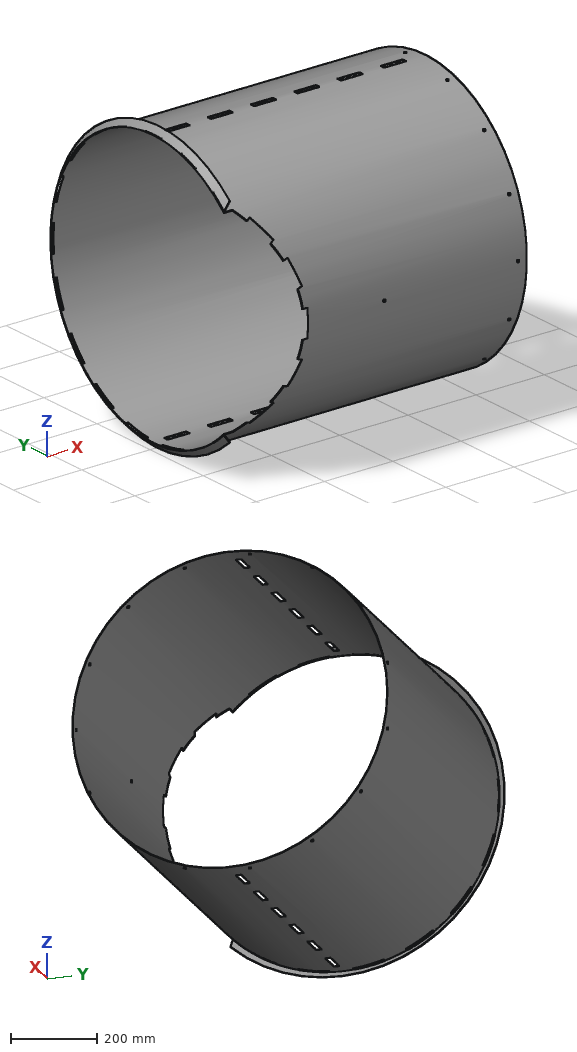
import cadquery as cq
import math


length = 797.0
outer_radius = 386.0
sheet = 2.0
inner_radius = outer_radius - sheet

flange_radius = 404.0
flange_rise = flange_radius - outer_radius
flange_offset = sheet / math.sqrt(2)

notch_width = 77.0
notch_count = 18
rim_notch_end = 10.0
bite_notch_depth = 11.0
bite_notch_angles = (-36.0, -18.7, 0.0, 18.7, 36.0)

bite_flat_y = -267.5
mitre_sum = -241.5
bite_flat_end = mitre_sum - bite_flat_y

slot_count = 6
slot_start = 39.5
slot_length = 64.0
slot_width = 13.0
slot_pitch = 127.0

hole_diameter = 6.5
end_hole_count = 15
end_hole_inset = 26.0
end_hole_first_angle = 6.0
side_hole_x = 380.0

clearance = 16.0


def around_axis(body, angle):
    """Turn a body made at +Z about the X axis, from +Z toward +Y."""
    return body.rotate((0, 0, 0), (1, 0, 0), -angle)


def wall_box(size_x, size_y):
    """Box crossing the wall at +Z, centred on X = 0."""
    return cq.Workplane("XY").box(size_x, size_y, 2 * clearance).translate((0, 0, outer_radius))


def wall_hole(x, angle):
    """Radial hole cutter through one wall."""
    drill = cq.Workplane("XY").circle(hole_diameter / 2).extrude(2 * clearance)
    return around_axis(drill.translate((x, 0, outer_radius - clearance)), angle)


def make_shell():
    return (
        cq.Workplane("YZ", origin=(flange_offset, 0, 0))
        .circle(outer_radius)
        .circle(inner_radius)
        .extrude(length - flange_offset)
    )


def make_flange():
    return (
        cq.Workplane("XY")
        .moveTo(0, outer_radius)
        .lineTo(flange_rise, flange_radius)
        .lineTo(flange_rise + flange_offset, flange_radius - flange_offset)
        .lineTo(flange_offset, outer_radius - flange_offset)
        .close()
        .revolve(360, (0, 0, 0), (1, 0, 0))
    )


def make_bite():
    far_y = -flange_radius - clearance
    return (
        cq.Workplane("XY", origin=(0, 0, -flange_radius))
        .moveTo(-clearance, bite_flat_y)
        .lineTo(bite_flat_end, bite_flat_y)
        .lineTo(mitre_sum - far_y, far_y)
        .lineTo(-clearance, far_y)
        .close()
        .extrude(2 * flange_radius)
    )


def bite_notch(angle):
    """Notch centred on the mitred edge and square to it, at an angle from -Y toward +Z."""
    edge_x = mitre_sum + outer_radius * math.cos(math.radians(angle))
    edge_lean = math.degrees(math.atan(math.sin(math.radians(angle))))
    notch = wall_box(2 * bite_notch_depth, notch_width)
    notch = notch.rotate((0, 0, 0), (0, 0, 1), -edge_lean).translate((edge_x, 0, 0))
    return around_axis(notch, -90 - angle)


shell = make_shell()

for i in range(notch_count):
    rim_notch = wall_box(2 * rim_notch_end, notch_width)
    shell = shell.cut(around_axis(rim_notch, 90 + i * 360 / notch_count))

for i in range(slot_count):
    slot_center = slot_start + slot_length / 2 + i * slot_pitch
    slot = wall_box(slot_length, slot_width).translate((slot_center, 0, 0))
    for seam_angle in (0, 180):
        shell = shell.cut(around_axis(slot, seam_angle))

for i in range(end_hole_count):
    hole_angle = end_hole_first_angle + i * 360 / end_hole_count
    shell = shell.cut(wall_hole(length - end_hole_inset, hole_angle))
shell = shell.cut(wall_hole(side_hole_x, -90))

result = shell.union(make_flange()).cut(make_bite())
for notch_angle in bite_notch_angles:
    result = result.cut(bite_notch(notch_angle))